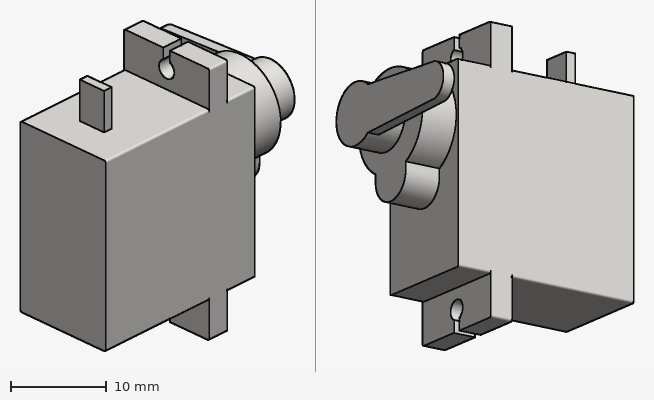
import cadquery as cq


case_width = 12.5
case_depth = 22.4
case_height = 22.82
edge_radius = 0.25

tab_length = 4.82
tab_thickness = 2.7
tab_y = 15.55
notch_hole_diameter = 2.22
notch_slot_width = 0.98

shaft_z = 5.35
cover_diameter = 11.67
cover_height = 4.3
lobe_diameter = 5.55
lobe_center_drop = 6.03
collar_diameter = 4.92
collar_height = 0.6

hub_diameter = 7.0
hub_height = 3.9
arm_thickness = 1.37
arm_root_half_width = 2.77
arm_end_half_width = 2.05
arm_end_x = -14.45
arm_tip_x = -16.07

plug_width = 3.55
plug_thickness = 1.15
plug_y = 4.35
plug_height = 4.95

cover_end_y = case_depth + cover_height
hub_start_y = cover_end_y + collar_height
hub_end_y = hub_start_y + hub_height
case_top_z = case_height / 2
tab_end_z = case_top_z + tab_length
tab_hole_z = case_top_z + tab_length / 2


def plane_facing_y(y, z=0):
    """Plane at the given Y whose normal is +Y, with local axes along +Z and +X."""
    return cq.Workplane(cq.Plane(origin=(0, y, z), xDir=(0, 0, 1), normal=(0, 1, 0)))


def rounded_block(y, length_y, height_z):
    """Block across the case width with its edges along Y rounded."""
    return plane_facing_y(y).rect(height_z, case_width).extrude(length_y).edges("|Y").fillet(edge_radius)


def cut_keyhole(body, side):
    """Cut a hole with a slot open to the tab end; side is +1 for top, -1 for bottom."""
    hole = plane_facing_y(tab_y, side * tab_hole_z).circle(notch_hole_diameter / 2).extrude(tab_thickness)
    slot = (
        plane_facing_y(tab_y, side * (tab_hole_z + tab_end_z) / 2)
        .rect(tab_end_z - tab_hole_z, notch_slot_width)
        .extrude(tab_thickness)
    )
    return body.cut(hole).cut(slot)


def make_gear_cover():
    """Round cover with a smaller round-ended lobe below it and a collar around the shaft."""
    lobe_end_z = shaft_z - lobe_center_drop
    cover = plane_facing_y(case_depth, shaft_z).circle(cover_diameter / 2).extrude(cover_height)
    lobe = plane_facing_y(case_depth, lobe_end_z).circle(lobe_diameter / 2).extrude(cover_height)
    bridge = (
        plane_facing_y(case_depth, (shaft_z + lobe_end_z) / 2)
        .rect(lobe_center_drop, lobe_diameter)
        .extrude(cover_height)
    )
    collar = plane_facing_y(cover_end_y, shaft_z).circle(collar_diameter / 2).extrude(collar_height)
    return cover.union(bridge).union(lobe).union(collar)


def make_housing():
    """Case with two notched mounting tabs, the gear cover and the output collar."""
    case = rounded_block(0, case_depth, case_height)
    tabs = rounded_block(tab_y, tab_thickness, 2 * tab_end_z)
    body = case.union(tabs)
    for side in (1, -1):
        body = cut_keyhole(body, side)
    return body.union(make_gear_cover())


def make_horn():
    """Hub with one tapered, round-ended arm flush with its +Y face."""
    hub = plane_facing_y(hub_start_y, shaft_z).circle(hub_diameter / 2).extrude(hub_height)
    arm = (
        plane_facing_y(hub_end_y - arm_thickness, shaft_z)
        .moveTo(arm_root_half_width, 0)
        .lineTo(arm_end_half_width, arm_end_x)
        .threePointArc((0, arm_tip_x), (-arm_end_half_width, arm_end_x))
        .lineTo(-arm_root_half_width, 0)
        .close()
        .extrude(arm_thickness)
    )
    return hub.union(arm)


def make_plug():
    """Flat rectangular plug standing on top of the case."""
    return cq.Workplane("XY").box(plug_width, plug_thickness, plug_height, centered=(True, False, False)).translate(
        (0, plug_y, case_top_z)
    )


housing = make_housing()
horn = make_horn()
plug = make_plug()

result = cq.Compound.makeCompound([housing.val(), horn.val(), plug.val()])